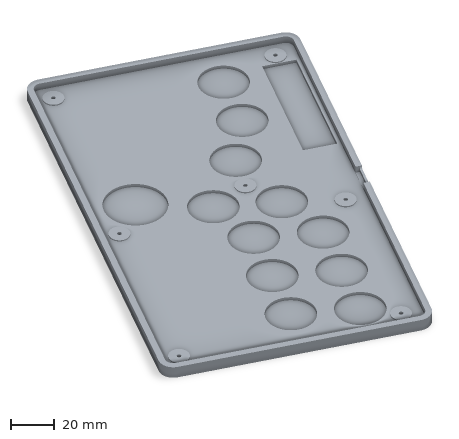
import cadquery as cq

length = 218.0
width = 130.1
height = 6.0
wall = 3.0
corner_radius = 7.0
floor_thickness = 2.5
cavity_depth = height - floor_thickness

recess_depth = 1.7
button_diameter = 24.0
button_pitch = 29.0
large_button_diameter = 30.0
large_button_center = (-13.5, -40.8)
display_length = 63.7
display_width = 16.4
display_center = (-60.8, 52.0)

button_rows = [
    ((-86.8, 23.8), 2),
    ((-31.0, 12.5), 1),
    ((4.0, 23.8), 1),
    ((-1.7, -7.2), 1),
    ((30.5, 35.3), 3),
    ((24.9, 4.0), 3),
]

boss_diameter = 10.0
boss_height = 0.7
screw_diameter = 2.1
boss_side_x = 97.9
boss_back_y = 51.9
boss_front_y = -54.0
boss_centers = [
    (-boss_side_x, boss_back_y),
    (11.5, boss_back_y),
    (boss_side_x, boss_back_y),
    (-11.5, 11.1),
    (-boss_side_x, boss_front_y),
    (5.0, boss_front_y),
    (boss_side_x, boss_front_y),
]

port_width = 12.2
port_lip_thickness = 1.0
port_floor_step = 0.2
port_depth = 1.7
port_corner_radius = 1.5


def rounded_plate(plate_length, plate_width, thickness, radius):
    plate = cq.Workplane("XY").rect(plate_length, plate_width).extrude(thickness)
    return plate.edges("|Z").fillet(radius)


def tray():
    body = rounded_plate(length, width, height, corner_radius)
    cavity = rounded_plate(
        length - 2 * wall, width - 2 * wall, cavity_depth, corner_radius - wall
    )
    return body.cut(cavity.translate((0, 0, floor_thickness)))


def button_centers():
    return [
        (x + i * button_pitch, y)
        for (x, y), count in button_rows
        for i in range(count)
    ]


def floor_recesses():
    plane = cq.Workplane("XY").workplane(offset=floor_thickness - recess_depth)
    buttons = plane.pushPoints(button_centers()).circle(button_diameter / 2).extrude(recess_depth)
    large_button = (
        plane.center(*large_button_center).circle(large_button_diameter / 2).extrude(recess_depth)
    )
    display = (
        plane.center(*display_center).rect(display_length, display_width).extrude(recess_depth)
    )
    return buttons.union(large_button).union(display)


def bosses():
    plane = cq.Workplane("XY").pushPoints(boss_centers)
    return plane.circle(boss_diameter / 2).extrude(floor_thickness + boss_height)


def screw_holes():
    return cq.Workplane("XY").pushPoints(boss_centers).circle(screw_diameter / 2).extrude(height)


def port_opening():
    slot_length = wall - port_lip_thickness
    slot_y = width / 2 - wall + slot_length / 2
    slot = (
        cq.Workplane("XY", origin=(0, slot_y, floor_thickness + port_floor_step))
        .rect(port_width, slot_length)
        .extrude(cavity_depth - port_floor_step)
    )
    lip_cut = (
        cq.Workplane("XY", origin=(0, width / 2 - port_lip_thickness / 2, height - port_depth))
        .rect(port_width, port_lip_thickness)
        .extrude(port_depth)
        .edges("|Y and <Z")
        .fillet(port_corner_radius)
    )
    return slot.union(lip_cut)


result = (
    tray()
    .cut(floor_recesses())
    .union(bosses())
    .cut(screw_holes())
    .cut(port_opening())
)